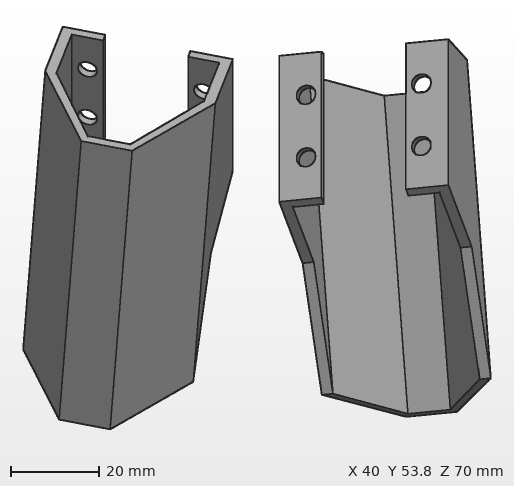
import cadquery as cq
import math

width = 40.0
height = 70.0
top_depth = 35.0
lean_angle = 15.0
side_wall = 2.65
end_wall = 1.95
flange_width = 10.0
knee_depth = 15.0
nose_width = 12.0
inner_nose_width = 10.0

rear_edge_z = 35.0
notch_depth = 18.55
notch_z = 26.45

hole_diameter = 4.5
hole_from_side = 6.4
hole_margin = 10.0

lean = height * math.tan(math.radians(lean_angle))
half_width = width / 2
overlap = 0.7


def leaning_prism(half_side, half_nose, front_depth, rear_y):
    """Tapered channel with a vertical rear face and a front that leans forward going down."""
    plan = [
        (-half_side, top_depth),
        (half_side, top_depth),
        (half_side, -knee_depth),
        (half_nose, -front_depth),
        (-half_nose, -front_depth),
        (-half_side, -knee_depth),
    ]
    lower_plan = [(x, y - lean) for x, y in plan]
    prism = (
        cq.Workplane("XY").polyline(lower_plan).close()
        .workplane(offset=height).polyline(plan).close()
        .loft(ruled=True, combine=True)
    )
    rear_limit = cq.Workplane("XY").box(
        2 * width, 2 * height, 2 * height, centered=(True, False, True)
    ).translate((0, rear_y, height / 2))
    return prism.cut(rear_limit)


def side_profile():
    """Side outline, extruded over the full width."""
    outline = [
        (0, height),
        (0, rear_edge_z),
        (-notch_depth, notch_z),
        (-knee_depth - lean, 0),
        (-top_depth - lean, 0),
        (-top_depth, height),
    ]
    return cq.Workplane("YZ").polyline(outline).close().extrude(half_width, both=True)


def rear_opening():
    """Full-height gap between the two flanges."""
    gap = width - 2 * flange_width
    return cq.Workplane("XY").box(
        gap, 2 * (end_wall + overlap), height, centered=(True, True, False)
    )


def flange_holes():
    """Two holes through each rear flange."""
    hole_x = half_width - hole_from_side
    hole_heights = (rear_edge_z + hole_margin, height - hole_margin)
    centers = [(x, z) for x in (-hole_x, hole_x) for z in hole_heights]
    return (
        cq.Workplane("XZ").pushPoints(centers)
        .circle(hole_diameter / 2).extrude(end_wall + overlap, both=True)
    )


outer = leaning_prism(half_width, nose_width / 2, top_depth, 0)
cavity = leaning_prism(
    half_width - side_wall, inner_nose_width / 2, top_depth - end_wall, -end_wall
)
shell = outer.intersect(side_profile()).cut(cavity)
result = shell.cut(rear_opening()).cut(flange_holes())